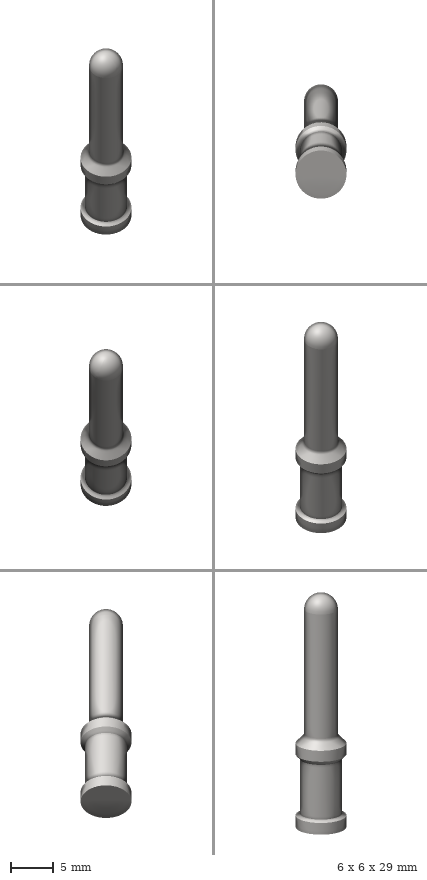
import cadquery as cq
import math

pin_radius = 2.0
barrel_radius = 2.5
collar_diameter = 6.0
collar_radius = collar_diameter / 2
neck_fillet = 0.5

flange_rim_top = 1.45
flange_top = 1.7
collar_bottom = 8.5
collar_rim_bottom = 9.05
collar_rim_top = 10.4
total_height = 29.0
dome_start = total_height - pin_radius

cone_angle = math.radians(45)
half_angle = cone_angle / 2
fillet_center_radius = pin_radius + neck_fillet
neck_radius = fillet_center_radius - neck_fillet * math.cos(cone_angle)
neck_bottom = collar_rim_top + collar_radius - neck_radius
neck_top = neck_bottom + neck_fillet * math.sin(cone_angle)
neck_middle = (
    fillet_center_radius - neck_fillet * math.cos(half_angle),
    neck_top - neck_fillet * math.sin(half_angle),
)

dome_offset = pin_radius * math.cos(cone_angle)
profile = (
    cq.Workplane("XZ")
    .lineTo(collar_radius, 0)
    .lineTo(collar_radius, flange_rim_top)
    .lineTo(barrel_radius, flange_top)
    .lineTo(barrel_radius, collar_bottom)
    .lineTo(collar_radius, collar_rim_bottom)
    .lineTo(collar_radius, collar_rim_top)
    .lineTo(neck_radius, neck_bottom)
    .threePointArc(neck_middle, (pin_radius, neck_top))
    .lineTo(pin_radius, dome_start)
    .threePointArc((dome_offset, dome_start + dome_offset), (0, total_height))
    .close()
)

result = profile.revolve(360, (0, 0), (0, 1))